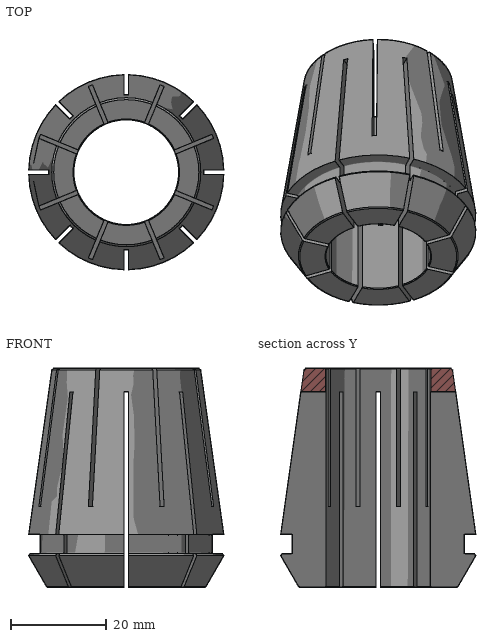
import cadquery as cq
import math

height = 46
outer_diameter = 41.0
outer_radius = outer_diameter / 2
bore_diameter = 22.0

cone_base_z = 11.1
cone_half_angle = 8
top_chamfer = 0.4

groove_radius = 18.1
groove_bottom_z = 7.1
groove_root_fillet = 0.2
nose_half_angle = 30
rim_chamfer_height = 0.45
rim_chamfer_width = 0.3

edge_break = 0.2

slits_per_end = 8
slit_width = 0.9
top_slit_floor_z = 16.97
bottom_slit_roof_z = 41.05


def make_body():
    """Revolve the collet's half section around Z."""
    bore_radius = bore_diameter / 2
    rim_z = groove_bottom_z - rim_chamfer_height
    nose_taper = math.tan(math.radians(nose_half_angle))
    nose_radius = outer_radius - rim_z * nose_taper
    chamfer_z = height - top_chamfer
    cone_taper = math.tan(math.radians(cone_half_angle))
    cone_top_radius = outer_radius - (chamfer_z - cone_base_z) * cone_taper
    section = (
        cq.Workplane("XZ")
        .moveTo(bore_radius + edge_break, 0)
        .lineTo(nose_radius - edge_break, 0)
        .lineTo(nose_radius + edge_break * nose_taper, edge_break)
        .lineTo(outer_radius, rim_z)
        .lineTo(outer_radius - rim_chamfer_width, groove_bottom_z)
        .lineTo(groove_radius + groove_root_fillet, groove_bottom_z)
        .radiusArc((groove_radius, groove_bottom_z + groove_root_fillet), groove_root_fillet)
        .lineTo(groove_radius, cone_base_z - groove_root_fillet)
        .radiusArc((groove_radius + groove_root_fillet, cone_base_z), groove_root_fillet)
        .lineTo(outer_radius, cone_base_z)
        .lineTo(cone_top_radius, chamfer_z)
        .lineTo(cone_top_radius - top_chamfer, height)
        .lineTo(bore_radius + edge_break, height)
        .lineTo(bore_radius, height - edge_break)
        .lineTo(bore_radius, edge_break)
        .close()
    )
    return section.revolve(360, (0, 0), (0, 1))


def make_slits(bottom_z, top_z, first_angle):
    """Thin radial blades, evenly spaced around Z, each reaching from the axis past the outside."""
    blade = cq.Workplane("XY").box(
        outer_radius + slit_width, slit_width, top_z - bottom_z, centered=(False, True, False)
    ).translate((0, 0, bottom_z))
    pitch = 360 / slits_per_end
    blades = cq.Workplane("XY")
    for index in range(slits_per_end):
        angle = first_angle + index * pitch
        blades = blades.add(blade.rotate((0, 0, 0), (0, 0, 1), angle))
    return blades.combine()


half_pitch = 360 / slits_per_end / 2
bottom_slits = make_slits(0, bottom_slit_roof_z, 0)
top_slits = make_slits(top_slit_floor_z, height, half_pitch)

result = make_body().cut(bottom_slits).cut(top_slits)